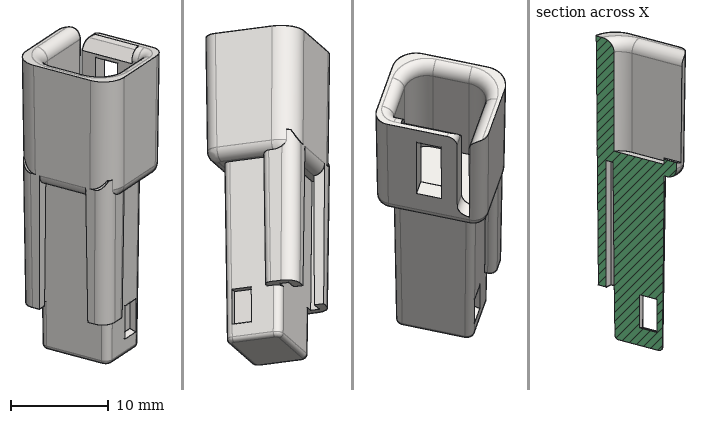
import cadquery as cq
import math

height = 33.0
head_width = 11.9
head_depth = 10.25
draft = 0.6

head_bottom = 19.47
head_front_radius = 2.5
head_back_radius = 1.52
head_bottom_radius = 1.2

cavity_width = 8.58
cavity_front = -3.5
cavity_back = 3.35
cavity_floor = head_bottom + 1.32
cavity_front_radius = 2.38
cavity_back_radius = 0.5
rim_radius = 1.25

slot_left = -cavity_width / 2
slot_right = -3.0
slot_mouth_radius = 1.05
slot_floor = head_bottom + 1.65
lead_in_end = 3.07
lead_in_depth = 1.52
lead_in_step = 0.33
lead_in_crest = 4.25
rim_back = cavity_back + rim_radius
window_width = 2.65
window_bottom = 23.1
window_top = 31.1

body_width = 8.65
body_front = -3.05
body_back = 3.45
body_corner_radius = 0.8
body_end_radius = 0.45

rail_outer = 5.45
rail_inner = 2.77
rail_back = -1.22
rail_bottom = 5.48
rail_top = 21.78
rail_front = -head_depth / 2 + (height - rail_top) * math.tan(math.radians(draft))
rail_front_radius = 1.52
rail_back_radius = 0.8
rail_tip_drop = 1.12
rail_tip_length = 0.65
rail_lip = 1.2
rail_groove_end = 4.35

pocket_front = 0.35
pocket_back = 2.48
pocket_bottom = 1.78
pocket_top = 5.6
pocket_depth = 0.92
pocket_floor_rise = 0.25


def box(x_min, x_max, y_min, y_max, z_min, z_max):
    size = (x_max - x_min, y_max - y_min, z_max - z_min)
    return cq.Workplane("XY").box(*size, centered=False).translate((x_min, y_min, z_min))


def tapered_block(x_min, x_max, y_min, y_max, z_bottom, z_top):
    """Rectangular block, full size at the top and drafted downward."""
    return (
        cq.Workplane("XY", origin=(0, 0, z_top))
        .center((x_min + x_max) / 2, (y_min + y_max) / 2)
        .rect(x_max - x_min, y_max - y_min)
        .extrude(z_bottom - z_top, taper=draft)
    )


def make_head():
    x_side = head_width / 2
    y_side = head_depth / 2
    head = tapered_block(-x_side, x_side, -y_side, y_side, head_bottom, height)
    head = head.faces("<Y").edges("<X or >X").fillet(head_front_radius)
    head = head.faces(">Y").edges("<X or >X").fillet(head_back_radius)
    return head.faces("<Z").edges().fillet(head_bottom_radius)


def make_body():
    x_side = body_width / 2
    body = tapered_block(-x_side, x_side, body_front, body_back, 0, cavity_floor)
    for side in ("<Y", ">Y"):
        body = body.faces(side).edges("<X or >X").fillet(body_corner_radius)
    return body.faces("<Z").edges().fillet(body_end_radius)


def make_rail():
    """Left rail with a sloping tip and an inward lip, blended into the head corner."""
    rail = tapered_block(-rail_outer, -rail_inner, rail_front, rail_back, rail_bottom, rail_top)
    rail = rail.faces("<Y").edges("<X").fillet(rail_front_radius)
    rail = rail.faces(">Y").edges("<X").fillet(rail_back_radius)
    tip_cut = (
        cq.Workplane("YZ")
        .polyline([
            (rail_front, rail_top - rail_tip_drop),
            (rail_front + rail_tip_length, rail_top),
            (rail_front, rail_top),
        ])
        .close()
        .extrude(-head_width)
    )
    groove_front = rail_front + rail_lip
    groove_back = body_front + (cavity_floor - rail_bottom) * math.tan(math.radians(draft))
    groove = (
        cq.Workplane("YZ")
        .polyline([
            (groove_front, rail_bottom),
            (groove_back, rail_bottom),
            (body_front, cavity_floor),
            (groove_front, cavity_floor),
        ])
        .close()
        .extrude(-rail_groove_end)
    )
    return rail.cut(tip_cut).cut(groove)


def make_cavity():
    """Straight-walled cavity, before its mouth is rounded."""
    x_side = cavity_width / 2
    cavity = box(-x_side, x_side, cavity_front, cavity_back, cavity_floor, height)
    cavity = cavity.edges("|Z and <Y").fillet(cavity_front_radius)
    return cavity.edges("|Z and >Y").fillet(cavity_back_radius)


def make_slot():
    """Open-topped slot through the back wall, with a flared mouth and one rounded lower corner."""
    floor_radius = slot_right - slot_left
    slot = (
        cq.Workplane("XZ")
        .moveTo(slot_left - rim_radius, height)
        .radiusArc((slot_left, height - rim_radius), rim_radius)
        .lineTo(slot_left, slot_floor)
        .radiusArc((slot_right, slot_floor + floor_radius), -floor_radius)
        .lineTo(slot_right, height - slot_mouth_radius)
        .radiusArc((slot_right + slot_mouth_radius, height), slot_mouth_radius)
        .close()
    )
    return slot.extrude(-head_depth)


def make_lead_in():
    """Steep slope along the inside of the back wall."""
    return (
        cq.Workplane("YZ", origin=(slot_right, 0, 0))
        .polyline([
            (0, height),
            (rim_back, height),
            (lead_in_crest, height - lead_in_step),
            (cavity_back, height - lead_in_depth),
            (0, height - lead_in_depth),
        ])
        .close()
        .extrude(lead_in_end - slot_right)
    )


def make_pocket():
    """Left side pocket with a floor that rises inward."""
    x_mouth = -body_width / 2
    x_end = x_mouth + pocket_depth
    return (
        cq.Workplane("XZ", origin=(0, pocket_back, 0))
        .polyline([
            (x_mouth, pocket_bottom),
            (x_end, pocket_bottom + pocket_floor_rise),
            (x_end, pocket_top),
            (x_mouth, pocket_top),
        ])
        .close()
        .extrude(pocket_back - pocket_front)
    )


left_rail = make_rail()
left_pocket = make_pocket()

result = make_head().union(make_body())
result = result.union(left_rail).union(left_rail.mirror("YZ"))
result = result.cut(make_cavity())
inside_mouth = cq.selectors.BoxSelector(
    (-cavity_width / 2 - 0.33, cavity_front - 0.33, height - 0.33),
    (cavity_width / 2 + 0.33, cavity_back + 0.33, height + 0.33),
)
result = result.edges(inside_mouth).fillet(rim_radius)
result = result.cut(make_slot()).cut(make_lead_in())
result = result.cut(box(-window_width / 2, window_width / 2, 0, head_depth, window_bottom, window_top))
result = result.cut(left_pocket).cut(left_pocket.mirror("YZ"))